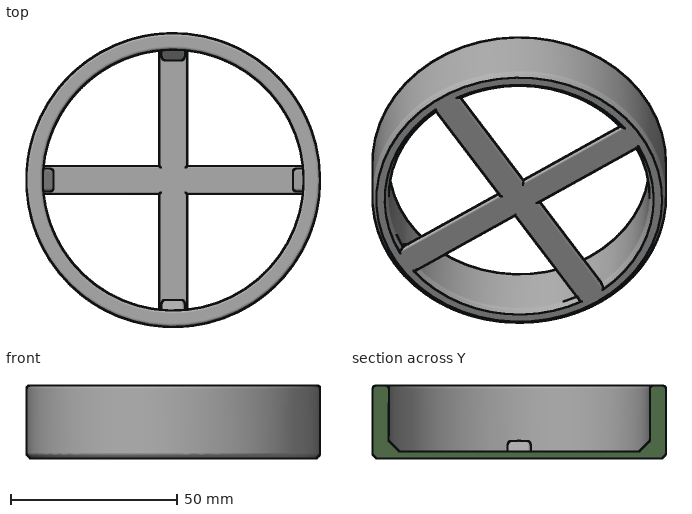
import cadquery as cq

outer_diameter = 88.5
inner_diameter = 78.5
ring_height = 22.0
ring_top_radius = 1.0
ring_bottom_chamfer = 1.2
chamfer_blend_radius = 1.1

spoke_width = 8.5
spoke_thickness = 2.2
spoke_edge_radius = 0.6

wedge_length = 3.2
wedge_height = 3.2
wedge_width = 7.0
wedge_edge_radius = 1.0

outer_radius = outer_diameter / 2
inner_radius = inner_diameter / 2
wall_thickness = outer_radius - inner_radius
joint_radius = inner_radius + wall_thickness / 2


def make_ring():
    ring = cq.Workplane("XY").circle(outer_radius).circle(inner_radius).extrude(ring_height)
    ring = ring.faces(">Z").edges().fillet(ring_top_radius)
    ring = ring.faces("<Z").edges().chamfer(ring_bottom_chamfer)
    chamfer_tops = ring.faces("%CYLINDER").edges("<Z")
    return chamfer_tops.fillet(chamfer_blend_radius)


def make_cross():
    along_x = cq.Workplane("XY").rect(2 * joint_radius, spoke_width).extrude(spoke_thickness)
    along_y = cq.Workplane("XY").rect(spoke_width, 2 * joint_radius).extrude(spoke_thickness)
    return along_x.union(along_y).faces("<Z or >Z").edges().fillet(spoke_edge_radius)


def make_wedge():
    """Wedge on the +X spoke, rising outward, with rounded edges along its slope."""
    toe_radius = inner_radius - wedge_length
    slope = wedge_height / wedge_length
    top = spoke_thickness + slope * (joint_radius - toe_radius)
    sink = spoke_thickness / 2
    bottom = spoke_thickness - sink
    wedge = (
        cq.Workplane("XZ")
        .moveTo(toe_radius - sink / slope, bottom)
        .lineTo(joint_radius, bottom)
        .lineTo(joint_radius, top)
        .close()
        .extrude(wedge_width / 2, both=True)
    )
    slope_edges = wedge.edges("not(|X or |Y or |Z)")
    return slope_edges.fillet(wedge_edge_radius)


result = make_ring().union(make_cross())
for angle in (0, 90, 180, 270):
    result = result.union(make_wedge().rotate((0, 0, 0), (0, 0, 1), angle))